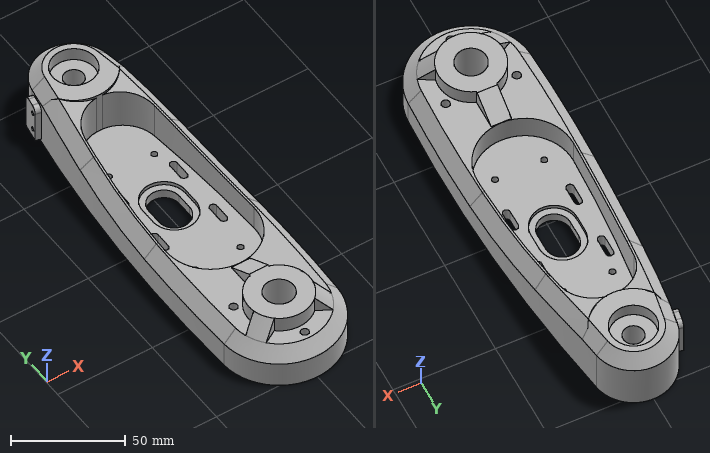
import cadquery as cq
import math

PIVOT_SPACING = 160.0
LARGE_END_RADIUS = 30.0
SMALL_END_RADIUS = 20.0
SIDE_RADIUS = 750.0

DECK_HEIGHT = 20.0
SMALL_END_HEIGHT = 30.0
RAMP_ANGLE = math.radians(10.0)
BLEND_START = 60.0
BLEND_END = 114.6
CREST_RADIUS = 700.0
DECK_CHAMFER_DROP = 6.35
DECK_CHAMFER_WIDTH = 6.2
SMALL_END_CHAMFER = 6.0

POCKET_START = 30.0
POCKET_END = PIVOT_SPACING - 19.87
POCKET_WALL = 7.3
FLOOR_THICKNESS = 7.0
MOTOR_Y = PIVOT_SPACING - 74.3
MOTOR_TRAVEL = 8.0
SHAFT_DIAMETER = 16.0
PILOT_DIAMETER = 22.4
PILOT_DEPTH = 2.0
MOTOR_SLOT_SPACING = 31.0
MOTOR_SLOT_WIDTH = 3.6
FLOOR_HOLES_Y = PIVOT_SPACING - 78.6
FLOOR_HOLE_SPACING_X = 24.0
FLOOR_HOLE_SPACING_Y = 67.2
FLOOR_HOLE_DIAMETER = 3.0

HUB_RADIUS = 16.0
HUB_HEIGHT = 28.0
HUB_BORE = 15.0
HUB_HOLE_CIRCLE_RADIUS = 20.0
HUB_HOLE_DIAMETER = 4.0
RIB_WIDTH = 10.0
RIB_REACH = 29.9
LONG_RIB_DIRECTION = 90
SHORT_RIB_DIRECTIONS = (-30, -150)
HUB_HOLE_COUNT = 3
RIB_TRIM_RADIUS = LARGE_END_RADIUS - DECK_CHAMFER_WIDTH

SMALL_BORE = 10.0
BEARING_DIAMETER = 22.0
BEARING_DEPTH = 7.0

PAD_LENGTH = 10.0
PAD_THICKNESS = 3.0
PAD_ROOT = 1.0
PAD_BOTTOM = 2.5
PAD_HEIGHT = 20.0
PAD_CORNER_RADIUS = 3.0
PAD_HOLE_DIAMETER = 2.0
PAD_HOLE_DEPTH = 3.0
PAD_HOLE_OFFSET = 7.2
PAD_HOLE_HEIGHTS = (7.5, 17.5)

LARGE_REACH = SIDE_RADIUS - LARGE_END_RADIUS
SMALL_REACH = SIDE_RADIUS - SMALL_END_RADIUS
SIDE_Y = (PIVOT_SPACING**2 + LARGE_REACH**2 - SMALL_REACH**2) / (2 * PIVOT_SPACING)
SIDE_OFFSET = math.sqrt(LARGE_REACH**2 - SIDE_Y**2)


def tapered_outline(start_center, start_radius, end_center, end_radius, side_radius):
    """Closed plan outline: two end arcs joined by two long side arcs tangent to them."""

    def tangent_angle(center_y):
        return math.atan2(center_y - SIDE_Y, SIDE_OFFSET)

    def side_point(angle):
        x = side_radius * math.cos(angle) - SIDE_OFFSET
        return x, SIDE_Y + side_radius * math.sin(angle)

    start_angle = tangent_angle(start_center)
    end_angle = tangent_angle(end_center)
    start_x, start_y = side_point(start_angle)
    middle_x, middle_y = side_point((start_angle + end_angle) / 2)
    end_x, end_y = side_point(end_angle)
    return (
        cq.Workplane("XY")
        .moveTo(start_x, start_y)
        .threePointArc((middle_x, middle_y), (end_x, end_y))
        .threePointArc((0, end_center + end_radius), (-end_x, end_y))
        .threePointArc((-middle_x, middle_y), (-start_x, start_y))
        .threePointArc((0, start_center - start_radius), (start_x, start_y))
        .close()
    )


def arm_blank(height):
    outline = tapered_outline(0, LARGE_END_RADIUS, PIVOT_SPACING, SMALL_END_RADIUS, SIDE_RADIUS)
    return outline.extrude(height)


def make_flat_envelope():
    """Full-height arm with a constant chamfer around its flat top."""
    return arm_blank(SMALL_END_HEIGHT).faces(">Z").edges().chamfer(SMALL_END_CHAMFER)


def make_ramped_body():
    """Arm with the flat deck that curves up into a gently rounded ramp, chamfered around the top."""
    blend_radius = (BLEND_END - BLEND_START) / math.sin(RAMP_ANGLE)
    blend_z = DECK_HEIGHT + blend_radius * (1 - math.cos(RAMP_ANGLE))
    middle_y = BLEND_START + blend_radius * math.sin(RAMP_ANGLE / 2)
    middle_z = DECK_HEIGHT + blend_radius * (1 - math.cos(RAMP_ANGLE / 2))
    crest_y = BLEND_END + CREST_RADIUS * math.sin(RAMP_ANGLE)
    crest_z = blend_z + CREST_RADIUS * (1 - math.cos(RAMP_ANGLE))
    ramp_middle_y = crest_y - CREST_RADIUS * math.sin(RAMP_ANGLE / 2)
    ramp_middle_z = crest_z - CREST_RADIUS * (1 - math.cos(RAMP_ANGLE / 2))
    tip_y = PIVOT_SPACING + 2 * SMALL_END_RADIUS
    tail_y = -2 * LARGE_END_RADIUS
    profile = (
        cq.Workplane("YZ")
        .moveTo(tail_y, 0)
        .lineTo(tail_y, DECK_HEIGHT)
        .lineTo(BLEND_START, DECK_HEIGHT)
        .threePointArc((middle_y, middle_z), (BLEND_END, blend_z))
        .threePointArc((ramp_middle_y, ramp_middle_z), (crest_y, crest_z))
        .lineTo(tip_y, crest_z)
        .lineTo(tip_y, 0)
        .close()
        .extrude(2 * LARGE_END_RADIUS, both=True)
    )
    body = arm_blank(crest_z).intersect(profile)
    rim = [
        edge
        for edge in body.edges().vals()
        if edge.geomType() != "LINE" and edge.BoundingBox().zmin > DECK_HEIGHT / 2
    ]
    return body.newObject(rim).chamfer(DECK_CHAMFER_DROP, DECK_CHAMFER_WIDTH)


def end_circle_radius(end_y, side_radius):
    """Radius of the circle that touches both offset side arcs and ends at end_y on the axis."""
    reach = abs(end_y - SIDE_Y)
    return (side_radius**2 - SIDE_OFFSET**2 - reach**2) / (2 * (side_radius - reach))


def make_pocket():
    side_radius = SIDE_RADIUS - POCKET_WALL
    start_radius = end_circle_radius(POCKET_START, side_radius)
    end_radius = end_circle_radius(POCKET_END, side_radius)
    outline = tapered_outline(
        POCKET_START + start_radius, start_radius, POCKET_END - end_radius, end_radius, side_radius
    )
    return outline.extrude(SMALL_END_HEIGHT).translate((0, 0, FLOOR_THICKNESS))


def make_motor_mount_cuts():
    """Shaft opening, pilot recess and fixing slots, all lengthened along Y for belt tension."""
    half_spacing = MOTOR_SLOT_SPACING / 2
    slot_centers = [(x, y) for x in (-half_spacing, half_spacing) for y in (-half_spacing, half_spacing)]
    base = cq.Workplane("XY").center(0, MOTOR_Y)
    shaft = base.slot2D(SHAFT_DIAMETER + MOTOR_TRAVEL, SHAFT_DIAMETER, 90).extrude(FLOOR_THICKNESS)
    pilot = (
        base.workplane(offset=FLOOR_THICKNESS - PILOT_DEPTH)
        .slot2D(PILOT_DIAMETER + MOTOR_TRAVEL, PILOT_DIAMETER, 90)
        .extrude(PILOT_DEPTH)
    )
    slots = (
        base.pushPoints(slot_centers)
        .slot2D(MOTOR_SLOT_WIDTH + MOTOR_TRAVEL, MOTOR_SLOT_WIDTH, 90)
        .extrude(FLOOR_THICKNESS)
    )
    return shaft.union(pilot).union(slots)


def make_floor_holes():
    return (
        cq.Workplane("XY")
        .center(0, FLOOR_HOLES_Y)
        .rect(FLOOR_HOLE_SPACING_X, FLOOR_HOLE_SPACING_Y, forConstruction=True)
        .vertices()
        .circle(FLOOR_HOLE_DIAMETER / 2)
        .extrude(FLOOR_THICKNESS)
    )


def make_rib(direction):
    """Sloping rib from the hub's top edge down to the deck, at the given plan angle."""
    return (
        cq.Workplane("XZ")
        .polyline([(0, DECK_HEIGHT), (RIB_REACH, DECK_HEIGHT), (HUB_RADIUS, HUB_HEIGHT), (0, HUB_HEIGHT)])
        .close()
        .extrude(RIB_WIDTH / 2, both=True)
        .rotate((0, 0, 0), (0, 0, 1), direction)
    )


def make_hub():
    """Round hub with one full rib and two ribs trimmed by a cone that continues the rim chamfer."""
    trim_cone = cq.Workplane("XY").add(
        cq.Solid.makeCone(
            RIB_TRIM_RADIUS, HUB_RADIUS, HUB_HEIGHT - DECK_HEIGHT, cq.Vector(0, 0, DECK_HEIGHT)
        )
    )
    hub = cq.Workplane("XY").circle(HUB_RADIUS).extrude(HUB_HEIGHT).union(make_rib(LONG_RIB_DIRECTION))
    for direction in SHORT_RIB_DIRECTIONS:
        hub = hub.union(make_rib(direction).intersect(trim_cone))
    return hub


def make_hub_cuts():
    bore = cq.Workplane("XY").circle(HUB_BORE / 2).extrude(HUB_HEIGHT)
    holes = (
        cq.Workplane("XY")
        .polarArray(HUB_HOLE_CIRCLE_RADIUS, -90, 360, HUB_HOLE_COUNT)
        .circle(HUB_HOLE_DIAMETER / 2)
        .extrude(HUB_HEIGHT)
    )
    return bore.union(holes)


def make_small_pivot_cuts():
    base = cq.Workplane("XY").center(0, PIVOT_SPACING)
    bore = base.circle(SMALL_BORE / 2).extrude(SMALL_END_HEIGHT)
    seat = (
        base.workplane(offset=SMALL_END_HEIGHT - BEARING_DEPTH)
        .circle(BEARING_DIAMETER / 2)
        .extrude(BEARING_DEPTH)
    )
    return bore.union(seat)


def pad_plane():
    """Plane on the left wall: origin where the side arc meets the small end, X toward the large end."""
    tilt = math.atan2(PIVOT_SPACING - SIDE_Y, SIDE_OFFSET)
    outward = cq.Vector(-math.cos(tilt), math.sin(tilt), 0)
    along = (-math.sin(tilt), -math.cos(tilt), 0)
    origin = cq.Vector(0, PIVOT_SPACING, 0) + outward * SMALL_END_RADIUS
    return cq.Plane(origin=origin.toTuple(), xDir=along, normal=outward.toTuple())


def make_pad():
    """Raised pad with rounded top corners, rooted slightly inside the wall."""
    top = PAD_BOTTOM + PAD_HEIGHT
    corner_shift = PAD_CORNER_RADIUS * (1 - math.sqrt(0.5))
    return (
        cq.Workplane(pad_plane())
        .workplane(offset=-PAD_ROOT)
        .moveTo(0, PAD_BOTTOM)
        .lineTo(PAD_LENGTH, PAD_BOTTOM)
        .lineTo(PAD_LENGTH, top - PAD_CORNER_RADIUS)
        .threePointArc(
            (PAD_LENGTH - corner_shift, top - corner_shift), (PAD_LENGTH - PAD_CORNER_RADIUS, top)
        )
        .lineTo(PAD_CORNER_RADIUS, top)
        .threePointArc((corner_shift, top - corner_shift), (0, top - PAD_CORNER_RADIUS))
        .close()
        .extrude(PAD_ROOT + PAD_THICKNESS)
    )


def make_pad_holes():
    return (
        cq.Workplane(pad_plane())
        .workplane(offset=PAD_THICKNESS)
        .pushPoints([(PAD_HOLE_OFFSET, height) for height in PAD_HOLE_HEIGHTS])
        .circle(PAD_HOLE_DIAMETER / 2)
        .extrude(-PAD_HOLE_DEPTH)
    )


def make_arm():
    flat_envelope = make_flat_envelope()
    small_end_disc = (
        cq.Workplane("XY")
        .center(0, PIVOT_SPACING)
        .circle(SMALL_END_RADIUS)
        .extrude(SMALL_END_HEIGHT)
        .intersect(flat_envelope)
    )
    arm = make_ramped_body().intersect(flat_envelope).cut(make_pocket())
    arm = arm.union(small_end_disc).union(make_hub()).union(make_pad())
    for cutter in (
        make_motor_mount_cuts(),
        make_floor_holes(),
        make_hub_cuts(),
        make_small_pivot_cuts(),
        make_pad_holes(),
    ):
        arm = arm.cut(cutter)
    return arm


result = make_arm()